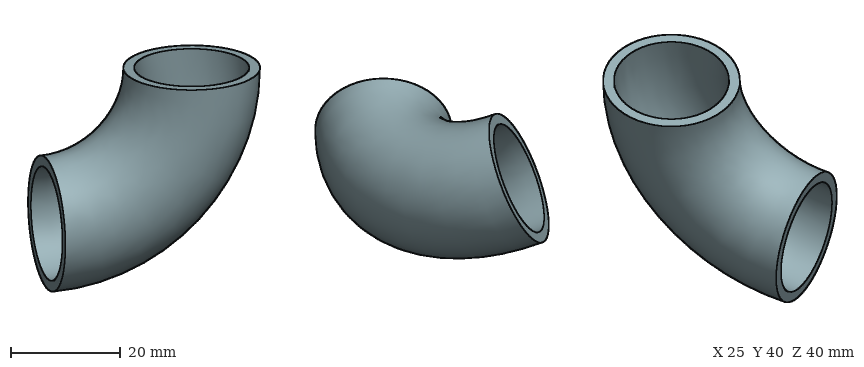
import cadquery as cq

overall_length = 40.0
outer_diameter = 25.0
wall_thickness = 2.0
bend_angle = 90.0

outer_radius = outer_diameter / 2
inner_radius = outer_radius - wall_thickness
bend_radius = overall_length - outer_radius

mouth_ring = (
    cq.Workplane("XZ")
    .pushPoints([(0, -bend_radius)])
    .circle(outer_radius)
    .circle(inner_radius)
)

result = mouth_ring.revolve(bend_angle, axisStart=(0, 0, 0), axisEnd=(1, 0, 0))